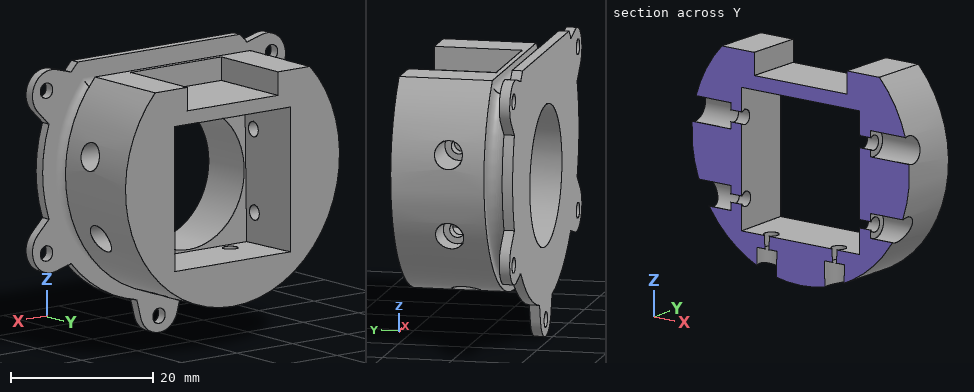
import cadquery as cq
import math

OVERALL_WIDTH = 45.7

FLANGE_RADIUS = 21.0
FLANGE_THICKNESS = 1.5
FLANGE_TOP = 15.07
LUG_ANGLES = [30, 150, 210, 270, 330]
LUG_CENTER_RADIUS = 22.45
LUG_END_RADIUS = OVERALL_WIDTH / 2 - LUG_CENTER_RADIUS * math.cos(math.radians(LUG_ANGLES[0]))
LUG_ROOT_HALF_ANGLE = 11.0
LUG_HOLE_CIRCLE_RADIUS = 23.45
SCREW_DIAMETER = 2.2

TOTAL_DEPTH = 18.0
BODY_FRONT = 4.5
BODY_RADIUS = 19.3
BODY_TOP = 13.35
NECK_INSET = 2.1
NECK_FILLET = 1.35

RECESS_WIDTH = 16.35
RECESS_FLOOR = 9.95
RECESS_FRONT = 5.3

TILT = 1.1
BORE_HEIGHT = -2.8
BORE_DIAMETER = 20.3
BORE_DEPTH = 8.0
POCKET_WIDTH = 20.85
OVERRUN = 4.55

SCREW_DEPTH = 9.8
SCREW_SPACING = 11.95
COUNTERBORE_DIAMETER = 4.0
SCREW_WALL = 2.0


def flat_topped_disc(radius, top, front, depth):
    """Disc along +Y from Y = front, cut off flat at Z = top."""
    half_chord = math.sqrt(radius**2 - top**2)
    return (
        cq.Workplane("XZ", origin=(0, front, 0))
        .moveTo(half_chord, top)
        .threePointArc((0, -radius), (-half_chord, top))
        .close()
        .extrude(-depth)
    )


def polar(radius, degrees):
    angle = math.radians(degrees)
    return (radius * math.cos(angle), radius * math.sin(angle))


def lug():
    """One solid lug pointing along +X, its flanks tangent to the round end."""
    root_x, root_z = polar(FLANGE_RADIUS, LUG_ROOT_HALF_ANGLE)
    root_distance = math.hypot(root_x - LUG_CENTER_RADIUS, root_z)
    root_direction = math.atan2(root_z, root_x - LUG_CENTER_RADIUS)
    tangent = root_direction - math.acos(LUG_END_RADIUS / root_distance)
    tangent_x = LUG_CENTER_RADIUS + LUG_END_RADIUS * math.cos(tangent)
    tangent_z = LUG_END_RADIUS * math.sin(tangent)
    return (
        cq.Workplane("XZ")
        .lineTo(root_x, root_z)
        .lineTo(tangent_x, tangent_z)
        .threePointArc((LUG_CENTER_RADIUS + LUG_END_RADIUS, 0), (tangent_x, -tangent_z))
        .lineTo(root_x, -root_z)
        .close()
        .extrude(-FLANGE_THICKNESS)
    )


def flange():
    plate = flat_topped_disc(FLANGE_RADIUS, FLANGE_TOP, 0, FLANGE_THICKNESS)
    for angle in LUG_ANGLES:
        plate = plate.union(lug().rotate((0, 0, 0), (0, 1, 0), -angle))
    holes = (
        cq.Workplane("XZ")
        .pushPoints([polar(LUG_HOLE_CIRCLE_RADIUS, angle) for angle in LUG_ANGLES])
        .circle(SCREW_DIAMETER / 2)
        .extrude(-FLANGE_THICKNESS)
    )
    return plate.cut(holes)


def neck_section(neck_size, base):
    """Section from Z = base up to the neck surface, flared by quarter rounds at both ends."""
    flare_size = neck_size + NECK_FILLET
    bend = NECK_FILLET * (1 - math.sqrt(0.5))
    return (
        cq.Workplane("YZ")
        .moveTo(FLANGE_THICKNESS, base)
        .lineTo(FLANGE_THICKNESS, flare_size)
        .threePointArc(
            (FLANGE_THICKNESS + bend, neck_size + bend),
            (FLANGE_THICKNESS + NECK_FILLET, neck_size),
        )
        .lineTo(BODY_FRONT - NECK_FILLET, neck_size)
        .threePointArc((BODY_FRONT - bend, neck_size + bend), (BODY_FRONT, flare_size))
        .lineTo(BODY_FRONT, base)
        .close()
    )


def neck():
    """Flared round neck, trimmed on top by an equally flared flat."""
    round_neck = neck_section(BODY_RADIUS - NECK_INSET, 0).revolve(360, (0, 0), (1, 0))
    flat_neck = neck_section(BODY_TOP - NECK_INSET, -FLANGE_RADIUS).extrude(FLANGE_RADIUS, both=True)
    return round_neck.intersect(flat_neck)


def body():
    housing = flat_topped_disc(BODY_RADIUS, BODY_TOP, BODY_FRONT, TOTAL_DEPTH - BODY_FRONT)
    recess = cq.Workplane("XY").box(
        RECESS_WIDTH, TOTAL_DEPTH, BODY_TOP, centered=(True, False, False)
    )
    return housing.cut(recess.translate((0, RECESS_FRONT, RECESS_FLOOR)))


def tilted(shape):
    """Move a shape from the cavity frame to its tilted place in the part."""
    return shape.rotate((0, 0, 0), (1, 0, 0), TILT).translate((0, 0, BORE_HEIGHT))


def cavity():
    bore = (
        cq.Workplane("XZ", origin=(0, -OVERRUN, 0))
        .circle(BORE_DIAMETER / 2)
        .extrude(-(OVERRUN + BORE_DEPTH))
    )
    pocket = (
        cq.Workplane("XZ", origin=(0, BORE_DEPTH, 0))
        .rect(POCKET_WIDTH, POCKET_WIDTH)
        .extrude(-TOTAL_DEPTH)
    )
    return tilted(bore.union(pocket))


def counterbored_hole():
    """Screw hole along +X from the cavity axis, counterbored from outside."""
    shoulder = POCKET_WIDTH / 2 + SCREW_WALL
    end = BODY_RADIUS + OVERRUN
    hole = cq.Workplane("YZ").circle(SCREW_DIAMETER / 2).extrude(end)
    counterbore = (
        cq.Workplane("YZ", origin=(shoulder, 0, 0))
        .circle(COUNTERBORE_DIAMETER / 2)
        .extrude(end - shoulder)
    )
    return hole.union(counterbore)


def screw_holes():
    """A pair of holes through the left, right and bottom pocket walls."""
    holes = cq.Workplane("XY")
    for direction in (0, 90, 180):
        for offset in (-SCREW_SPACING / 2, SCREW_SPACING / 2):
            hole = counterbored_hole().translate((0, SCREW_DEPTH, offset))
            holes = holes.add(hole.rotate((0, 0, 0), (0, 1, 0), direction))
    return tilted(holes.combine())


solid = flange().union(neck()).union(body())
result = solid.cut(cavity()).cut(screw_holes())